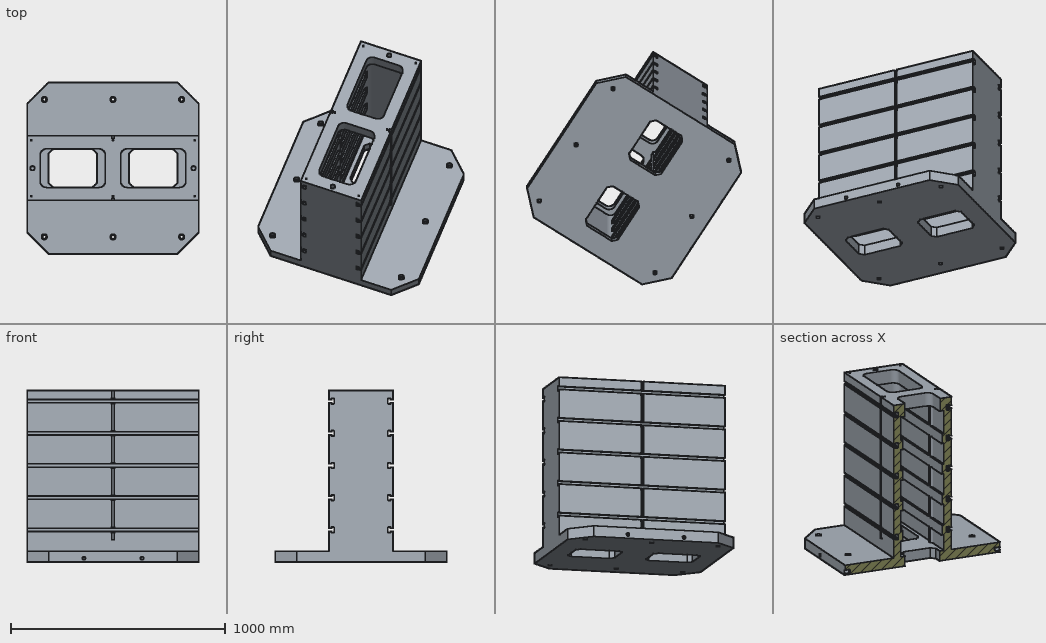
import cadquery as cq
import math


OVERALL = 800.0

plate_thickness = 50.0
plate_corner_cut = 100.0
bolt_offset = 320.0
bolt_diameter = 18.0
bolt_head_diameter = 26.0
bolt_head_depth = 20.0
edge_hole_diameter = 14.0
edge_hole_depth = 24.0
edge_hole_x = 135.0
edge_hole_z = 18.0

tower_depth = 300.0
end_wall = 40.0
side_wall = 40.0
lid_thickness = 65.0
chamber_radius = 30.0

lid_border = 60.0
lid_bridge = 70.0
window_length = 225.0
window_width = 178.0
window_corner_cut = 20.0

slot_count = 5
slot_mouth = 14.0
slot_head = 25.0
slot_depth = 25.0
slot_head_depth = 12.0
slot_corner_cut = 2.8

groove_width = 12.0
groove_depth = 10.0
groove_bottom = 105.0

rib_height = 10.0
slot_rib_width = 50.0
groove_rib_width = 20.0

lift_hole_diameter = 21.0
lift_hole_depth = 40.0
lift_hole_inset = 25.0
pin_hole_diameter = 5.0
pin_hole_depth = 16.0
pin_hole_inset = 20.0

drill_point_angle = 120.0

half = OVERALL / 2
half_depth = tower_depth / 2
slot_pitch = (OVERALL - plate_thickness) / slot_count
chamber_length = OVERALL - 2 * end_wall
chamber_width = tower_depth - 2 * side_wall
chamber_top = OVERALL - lid_thickness
opening_length = half - lid_border - lid_bridge / 2
opening_width = tower_depth - 2 * lid_border
opening_x = (lid_bridge + opening_length) / 2


def block(length, width, bottom, top, x=0, y=0):
    """Upright box centred on (x, y)."""
    box = cq.Workplane("XY").box(length, width, top - bottom, centered=(True, True, False))
    return box.translate((x, y, bottom))


def holes_down(points, diameter, top, depth):
    """Vertical holes drilled down from the given height."""
    return cq.Workplane("XY", origin=(0, 0, top)).pushPoints(points).circle(diameter / 2).extrude(-depth)


def drilled_hole(x, y, top, diameter, depth):
    """Blind vertical hole with a conical bottom; the depth is that of the straight part."""
    radius = diameter / 2
    point_depth = radius / math.tan(math.radians(drill_point_angle / 2))
    profile = (
        cq.Workplane("XZ")
        .lineTo(radius, 0)
        .lineTo(radius, -depth)
        .lineTo(0, -depth - point_depth)
        .close()
    )
    return profile.revolve(360, (0, 0), (0, 1)).translate((x, y, top))


def base_plate():
    plate = block(OVERALL, OVERALL, 0, plate_thickness)
    plate = plate.edges("|Z").chamfer(plate_corner_cut)
    bolts = [(x, y) for x in (-bolt_offset, 0, bolt_offset) for y in (-bolt_offset, bolt_offset)]
    plate = plate.cut(holes_down(bolts, bolt_diameter, plate_thickness, plate_thickness))
    plate = plate.cut(holes_down(bolts, bolt_head_diameter, plate_thickness, bolt_head_depth))
    for x in (-edge_hole_x, edge_hole_x):
        hole = drilled_hole(0, 0, 0, edge_hole_diameter, edge_hole_depth)
        hole = hole.rotate((0, 0, 0), (1, 0, 0), 90).translate((x, -half, edge_hole_z))
        plate = plate.cut(hole).cut(hole.mirror("XZ"))
    return plate


def wall_ribs():
    """Ribs on the chamber's +Y wall, one behind each slot below the lid and one behind the groove."""
    rib_y = (chamber_width - rib_height) / 2
    ribs = block(groove_rib_width, rib_height, plate_thickness, chamber_top, y=rib_y)
    for side in (-1, 1):
        corner_x = side * (groove_rib_width / 2 + rib_height)
        blend = block(rib_height, rib_height, plate_thickness, chamber_top,
                      x=side * (groove_rib_width + rib_height) / 2, y=rib_y)
        hollow = holes_down([(corner_x, chamber_width / 2 - rib_height)], 2 * rib_height,
                            chamber_top, chamber_top - plate_thickness)
        ribs = ribs.union(blend.cut(hollow))
    for number in range(1, slot_count):
        z = number * slot_pitch
        ribs = ribs.union(block(chamber_length, rib_height, z - slot_rib_width / 2,
                                z + slot_rib_width / 2, y=rib_y))
    return ribs


def chamber():
    """Hollow inside the tower, narrowed by the ribs on both walls."""
    hollow = block(chamber_length, chamber_width, plate_thickness, chamber_top)
    hollow = hollow.edges("|Z").fillet(chamber_radius)
    ribs = wall_ribs()
    return hollow.cut(ribs).cut(ribs.mirror("XZ"))


def t_slot(z):
    """T-slot along X in the -Y face."""
    head = block(OVERALL, slot_head_depth, z - slot_head / 2, z + slot_head / 2,
                 y=slot_depth - slot_head_depth / 2 - half_depth)
    head = head.edges("|X and >Y").chamfer(slot_corner_cut)
    mouth = block(OVERALL, slot_depth, z - slot_mouth / 2, z + slot_mouth / 2,
                  y=slot_depth / 2 - half_depth)
    return head.union(mouth)


def face_cuts():
    """Slots and groove of the -Y face."""
    cuts = block(groove_width, groove_depth, groove_bottom, OVERALL, y=groove_depth / 2 - half_depth)
    for number in range(1, slot_count + 1):
        cuts = cuts.union(t_slot(number * slot_pitch))
    return cuts


def tower():
    body = block(OVERALL, tower_depth, 0, OVERALL).cut(chamber())
    cuts = face_cuts()
    body = body.cut(cuts).cut(cuts.mirror("XZ"))
    lift_x = half - lift_hole_inset
    pin_x = half - pin_hole_inset
    pin_y = half_depth - pin_hole_inset
    for x in (-lift_x, lift_x):
        body = body.cut(drilled_hole(x, 0, OVERALL, lift_hole_diameter, lift_hole_depth))
    for x in (-pin_x, 0, pin_x):
        for y in (-pin_y, pin_y):
            body = body.cut(drilled_hole(x, y, OVERALL, pin_hole_diameter, pin_hole_depth))
    return body


def vertical_openings():
    """Rounded openings in the lid and bevelled windows in the plate."""
    opening = block(opening_length, opening_width, chamber_top, OVERALL)
    opening = opening.edges("|Z").fillet(chamber_radius)
    window = block(window_length, window_width, 0, plate_thickness)
    window = window.edges("|Z").chamfer(window_corner_cut)
    pair = opening.union(window).translate((opening_x, 0, 0))
    return pair.union(pair.mirror("YZ"))


result = base_plate().union(tower()).cut(vertical_openings())